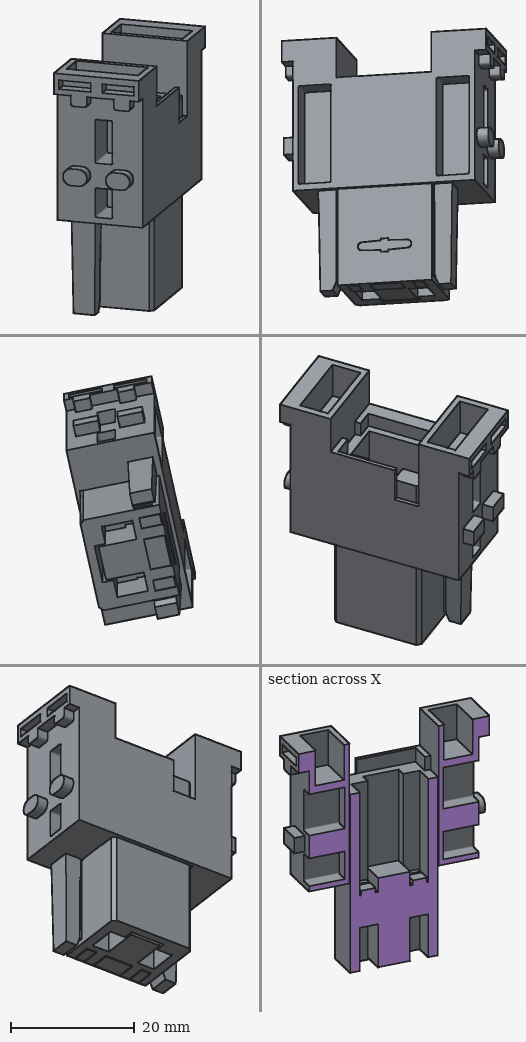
import cadquery as cq

WIDTH = 14.5
LENGTH = 34.0
HEIGHT = 41.95
SIDE_X = WIDTH / 2
END_Y = LENGTH / 2
BODY_END_Y = 15.1
HEAD_INNER_Y = 7.9
BODY_BOTTOM_Z = 16.75
BODY_TOP_Z = 35.3
FLANGE_BOTTOM_Z = 38.43

SOCKET_HALF_X = 6.1
SOCKET_INNER_Y = 8.95
SOCKET_OUTER_Y = 13.93
SOCKET_DEPTH = 6.3
LATCH_SLOT_INNER_X = 0.95
LATCH_SLOT_OUTER_X = 6.4
LATCH_SLOT_Z = (39.35, 40.85)
LATCH_SLOT_DEPTH = 2.1

TAB_CENTERS_X = (-2.98, 4.35)
TAB_WIDTH = 2.73
TAB_BOTTOM_Z = 36.65
TAB_ROUND = 0.45

WINDOW_BOTTOM_Z = 17.8
WINDOW_TOP_Z = 34.25
WINDOW_INNER_Y = 8.75
WINDOW_OUTER_Y = 14.2
WINDOW_DEPTH = 4.35
WINDOW_ROUND = 0.3
END_WINDOW_X = (-0.85, 2.1)
UPPER_END_WINDOW_Z = 26.9
LOWER_END_WINDOW_Z = 22.7

PEG_CENTER_X = 3.65
PEG_CENTER_Z = 24.7
PEG_WIDTH = 4.05
PEG_HEIGHT = 2.8

POCKET_X = (-4.7, 6.6)
POCKET_HALF_Y = 6.85
KEYWAY_X = (-1.75, 2.98)
WALL_NOTCH_Y = 3.6
WALL_NOTCH_BOTTOM_Z = 29.35

PLUG_TOP_Z = 32.8
PLUG_BOTTOM_Z = 0.65
PLUG_HALF_X = 6.6
PLUG_HALF_Y = 7.8
PLUG_CHAMFER = 0.65

CAVITY_X = (-3.5, 3.3)
CAVITY_HALF_Y = 6.1
CAVITY_FLOOR_Z = 16.8
CHANNEL_START_X = -1.75
CENTER_END_X = 5.1
CENTER_HALF_Y = 3.15
TONGUE_END_X = 4.5
TONGUE_HALF_Y = 2.85
CONTACT_Y = (3.3, 5.87)
CONTACT_TOP_Z = 15.1
CONTACT_BOTTOM_Z = 8.4
CONTACT_ROUND = 0.75
CONTACT_BASE_START_X = 0.0
CONTACT_BASE_DROP = 0.85
CONTACT_GROOVE_X = (2.0, 2.45)

RIB_TOP_X = (-6.2, -2.1)
RIB_TIP_X = (-5.95, -2.35)
RIB_INNER_Y = 8.2
RIB_TOP_OUTER_Y = 11.1
RIB_TIP_OUTER_Y = 10.85
RIB_TIP_INNER_Y = 8.8
RIB_CHAMFER_Z = 1.43
NECK_START_X = -5.45
NECK_BOTTOM_Z = 1.6

MARKER_RISE = 0.15
MARKER_CENTER_Z = 6.9
MARKER_HALF_LENGTH = 4.45
MARKER_TIP_HALF_HEIGHT = 0.67
MARKER_ROOT_HALF_HEIGHT = 0.85
MARKER_HUB_WIDTH = 1.25
MARKER_HUB_HEIGHT = 2.22
PAD_X = (-6.35, -2.95)
PADS_Y = ((-6.3, -4.5), (-2.6, 2.6), (4.5, 6.3))
PAD_RISE = 0.15


def block(x, y, z):
    """Box spanning the given (low, high) ranges."""
    return cq.Workplane("XY").box(
        x[1] - x[0], y[1] - y[0], z[1] - z[0], centered=False
    ).translate((x[0], y[0], z[0]))


def both_ends(shape):
    """The shape together with its mirror image across the XZ plane."""
    return shape.union(shape.mirror("XZ"))


def make_housing():
    half_x = (-SIDE_X, SIDE_X)
    body = block(half_x, (-BODY_END_Y, BODY_END_Y), (BODY_BOTTOM_Z, BODY_TOP_Z))
    head = block(half_x, (-BODY_END_Y, -HEAD_INNER_Y), (BODY_TOP_Z, HEIGHT))
    flange = block(half_x, (-END_Y, -HEAD_INNER_Y), (FLANGE_BOTTOM_Z, HEIGHT))
    end = head.union(flange)
    for center in TAB_CENTERS_X:
        tab = block(
            (center - TAB_WIDTH / 2, center + TAB_WIDTH / 2),
            (-END_Y, -BODY_END_Y),
            (TAB_BOTTOM_Z, FLANGE_BOTTOM_Z),
        )
        end = end.union(tab.edges("|Y and <Z").fillet(TAB_ROUND))
    return body.union(both_ends(end))


def make_end_openings():
    """Socket, latch slots and windows of both ends."""
    openings = block(
        (-SOCKET_HALF_X, SOCKET_HALF_X),
        (-SOCKET_OUTER_Y, -SOCKET_INNER_Y),
        (HEIGHT - SOCKET_DEPTH, HEIGHT),
    )
    slot_y = (-END_Y, -END_Y + LATCH_SLOT_DEPTH)
    for x in (
        (-LATCH_SLOT_OUTER_X, -LATCH_SLOT_INNER_X),
        (LATCH_SLOT_INNER_X, LATCH_SLOT_OUTER_X),
    ):
        openings = openings.union(block(x, slot_y, LATCH_SLOT_Z))

    side_window = block(
        (-SIDE_X, -SIDE_X + WINDOW_DEPTH),
        (-WINDOW_OUTER_Y, -WINDOW_INNER_Y),
        (WINDOW_BOTTOM_Z, WINDOW_TOP_Z),
    )
    openings = openings.union(side_window.edges("|X").fillet(WINDOW_ROUND))
    for z in (
        (UPPER_END_WINDOW_Z, WINDOW_TOP_Z),
        (WINDOW_BOTTOM_Z, LOWER_END_WINDOW_Z),
    ):
        window = block(END_WINDOW_X, (-BODY_END_Y, -WINDOW_INNER_Y), z)
        openings = openings.union(window.edges("|Y").fillet(WINDOW_ROUND))
    return both_ends(openings)


def make_pocket():
    """Pocket with a short keyway at -Y and a wide one at +Y."""
    z = (BODY_BOTTOM_Z, BODY_TOP_Z)
    pocket = block(POCKET_X, (-POCKET_HALF_Y, POCKET_HALF_Y), z)
    pocket = pocket.union(block(KEYWAY_X, (-HEAD_INNER_Y, 0), z))
    return pocket.union(block((KEYWAY_X[0], POCKET_X[1]), (0, HEAD_INNER_Y), z))


def make_pegs():
    """Two rounded pegs at -Y and two square ones at +Y."""
    peg_length = END_Y - BODY_END_Y
    centers = [(-PEG_CENTER_X, PEG_CENTER_Z), (PEG_CENTER_X, PEG_CENTER_Z)]
    rounded = (
        cq.Workplane("XZ", origin=(0, -BODY_END_Y, 0))
        .pushPoints(centers)
        .slot2D(PEG_WIDTH, PEG_HEIGHT)
        .extrude(peg_length)
    )
    square = (
        cq.Workplane("XZ", origin=(0, END_Y, 0))
        .pushPoints(centers)
        .rect(PEG_WIDTH, PEG_HEIGHT)
        .extrude(peg_length)
    )
    return rounded, square


def make_plug():
    upper = make_pocket().intersect(
        block(
            (-PLUG_HALF_X, PLUG_HALF_X),
            (-PLUG_HALF_Y, PLUG_HALF_Y),
            (BODY_BOTTOM_Z, PLUG_TOP_Z),
        )
    )
    upper = upper.edges("|Z and >X and >Y").chamfer(PLUG_CHAMFER)
    lower = block(
        (-PLUG_HALF_X, PLUG_HALF_X),
        (-PLUG_HALF_Y, PLUG_HALF_Y),
        (PLUG_BOTTOM_Z, BODY_BOTTOM_Z),
    )
    lower = lower.edges("|Z and >X").chamfer(PLUG_CHAMFER)
    return upper.union(lower)


def make_cavity():
    """Open cavity with a floor, and channels running on through the bottom."""
    y = (-CAVITY_HALF_Y, CAVITY_HALF_Y)
    center_y = (-CENTER_HALF_Y, CENTER_HALF_Y)
    open_z = (CAVITY_FLOOR_Z, PLUG_TOP_Z)
    through_z = (PLUG_BOTTOM_Z, CAVITY_FLOOR_Z)
    channel_x = (CHANNEL_START_X, CAVITY_X[1])
    center_x = (CHANNEL_START_X, CENTER_END_X)
    channels = block(channel_x, y, through_z).union(block(center_x, center_y, through_z))
    tongue = block(
        (CHANNEL_START_X, TONGUE_END_X), (-TONGUE_HALF_Y, TONGUE_HALF_Y), through_z
    )
    cavity = block(CAVITY_X, y, open_z).union(block(center_x, center_y, open_z))
    return cavity.union(channels.cut(tongue))


def make_contacts():
    """Grooved contact on a wider base, one in each channel."""
    base_z = CONTACT_TOP_Z - CONTACT_BASE_DROP
    head = block((CHANNEL_START_X, CAVITY_X[1]), CONTACT_Y, (CONTACT_BOTTOM_Z, CONTACT_TOP_Z))
    head = head.edges("|Z and <X and <Y").fillet(CONTACT_ROUND)
    head = head.cut(block(CONTACT_GROOVE_X, CONTACT_Y, (base_z, CONTACT_TOP_Z)))
    base = block(
        (CONTACT_BASE_START_X, CAVITY_X[1]),
        (TONGUE_HALF_Y, CAVITY_HALF_Y),
        (CONTACT_BOTTOM_Z, base_z),
    )
    return both_ends(head.union(base))


def make_ribs():
    """Ribs tapered in both directions, each joined to the plug by a neck."""
    front_outline = (
        cq.Workplane("XZ")
        .polyline([
            (RIB_TOP_X[0], BODY_BOTTOM_Z),
            (RIB_TOP_X[1], BODY_BOTTOM_Z),
            (RIB_TIP_X[1], 0),
            (RIB_TIP_X[0], 0),
        ])
        .close()
        .extrude(END_Y)
    )
    side_outline = (
        cq.Workplane("YZ")
        .polyline([
            (-RIB_INNER_Y, BODY_BOTTOM_Z),
            (-RIB_TOP_OUTER_Y, BODY_BOTTOM_Z),
            (-RIB_TIP_OUTER_Y, 0),
            (-RIB_TIP_INNER_Y, 0),
            (-RIB_INNER_Y, RIB_CHAMFER_Z),
        ])
        .close()
        .extrude(-SIDE_X)
    )
    neck = block(
        (NECK_START_X, RIB_TIP_X[1]),
        (-RIB_INNER_Y, -PLUG_HALF_Y),
        (NECK_BOTTOM_Z, BODY_BOTTOM_Z),
    )
    return both_ends(front_outline.intersect(side_outline).union(neck))


def make_marker():
    """Two tapering round-ended wings meeting at a hub."""
    face = cq.Workplane("YZ", origin=(-PLUG_HALF_X, 0, MARKER_CENTER_Z))
    shoulder_y = MARKER_HALF_LENGTH - MARKER_TIP_HALF_HEIGHT
    wings = (
        face.moveTo(-shoulder_y, MARKER_TIP_HALF_HEIGHT)
        .lineTo(0, MARKER_ROOT_HALF_HEIGHT)
        .lineTo(shoulder_y, MARKER_TIP_HALF_HEIGHT)
        .threePointArc((MARKER_HALF_LENGTH, 0), (shoulder_y, -MARKER_TIP_HALF_HEIGHT))
        .lineTo(0, -MARKER_ROOT_HALF_HEIGHT)
        .lineTo(-shoulder_y, -MARKER_TIP_HALF_HEIGHT)
        .threePointArc((-MARKER_HALF_LENGTH, 0), (-shoulder_y, MARKER_TIP_HALF_HEIGHT))
        .close()
        .extrude(-MARKER_RISE)
    )
    hub = face.rect(MARKER_HUB_WIDTH, MARKER_HUB_HEIGHT).extrude(-MARKER_RISE)
    return wings.union(hub)


housing = make_housing().cut(make_end_openings()).cut(make_pocket())
wall_notch = block(
    (POCKET_X[1], SIDE_X), (WALL_NOTCH_Y, HEAD_INNER_Y), (WALL_NOTCH_BOTTOM_Z, BODY_TOP_Z)
)
housing = housing.cut(wall_notch)
for peg_pair in make_pegs():
    housing = housing.union(peg_pair)

plug = make_plug().cut(make_cavity()).union(make_contacts())
plug = plug.union(make_ribs()).union(make_marker())
for pad_y in PADS_Y:
    plug = plug.union(block(PAD_X, pad_y, (PLUG_BOTTOM_Z - PAD_RISE, PLUG_BOTTOM_Z)))

result = housing.union(plug)